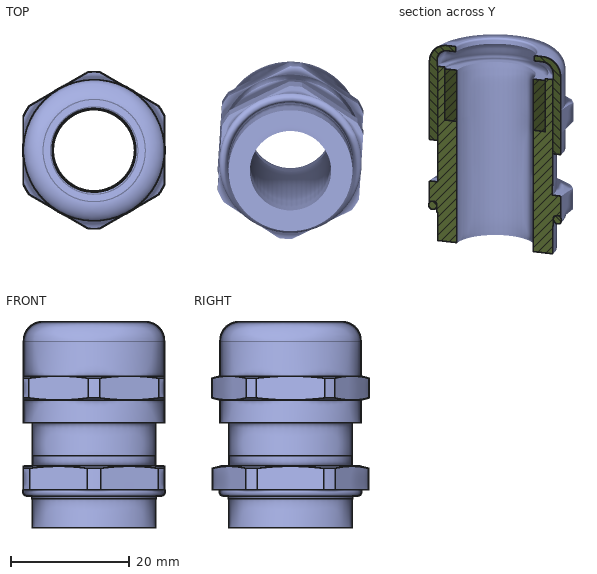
import cadquery as cq
import math

TOTAL_HEIGHT = 34.95

HEX_FLATS = 24.0
HEX_SIDES = 6
HALF_SIDE_ANGLE = 180 / HEX_SIDES
HEX_CHAMFER_ANGLE = 15.0

BODY_RADIUS = 10.5
LIP_RADIUS = 10.6
LIP_BOTTOM = 4.95
BODY_HEX_BOTTOM = 6.47
BODY_HEX_TOP = 10.52
BODY_HEX_CORNER_RADIUS = 13.25
BODY_HEX_CHAMFER_RADIUS = 11.68
NECK_TOP = 12.25
NECK_RADIUS = 10.45
BODY_TOP = 31.08

CAP_RADIUS = 11.95
CAP_BOTTOM = 17.8
CAP_HEX_BOTTOM = 21.68
CAP_HEX_TOP = 25.73
CAP_HEX_CORNER_RADIUS = 13.32
DOME_ROUND = 3.3
CAP_LIP_THICKNESS = 1.0
MOUTH_RADIUS = 7.1
MOUTH_ROUND = 0.3
CAVITY_ROUND = DOME_ROUND - (CAP_RADIUS - BODY_RADIUS)

BORE_RADIUS = 6.9
SEAL_RADIUS = 9.05
SEAL_TOP = 30.75
SEAL_BOTTOM = CAP_HEX_BOTTOM

ORING_OUTER_DIAMETER = 24.15
ORING_SECTION_RADIUS = (ORING_OUTER_DIAMETER / 2 - LIP_RADIUS) / 2
ORING_CENTRE_RADIUS = LIP_RADIUS + ORING_SECTION_RADIUS
ORING_HEIGHT = 6.15


def cylinder(radius, bottom, top):
    """Solid cylinder on the Z axis between two heights."""
    return cq.Workplane("XY").workplane(offset=bottom).circle(radius).extrude(top - bottom)


def hexagon(bottom, top, corner_radius, chamfer_radius, chamfer_bottom):
    """Hexagon with two flats facing +X and -X, turned round corners and conical chamfers."""
    across_corners = HEX_FLATS / math.cos(math.radians(HALF_SIDE_ANGLE))
    prism = (
        cq.Workplane("XY")
        .workplane(offset=bottom)
        .polygon(HEX_SIDES, across_corners)
        .extrude(top - bottom)
        .rotate((0, 0, 0), (0, 0, 1), HALF_SIDE_ANGLE)
    )
    drop = (corner_radius - chamfer_radius) * math.tan(math.radians(HEX_CHAMFER_ANGLE))
    blank = cq.Workplane("XZ").moveTo(0, bottom)
    if chamfer_bottom:
        blank = blank.lineTo(chamfer_radius, bottom).lineTo(corner_radius, bottom + drop)
    else:
        blank = blank.lineTo(corner_radius, bottom)
    blank = (
        blank.lineTo(corner_radius, top - drop)
        .lineTo(chamfer_radius, top)
        .lineTo(0, top)
        .close()
        .revolve(360, (0, 0, 0), (0, 1, 0))
    )
    return prism.intersect(blank)


def make_oring():
    """Torus of round section."""
    return (
        cq.Workplane("XZ")
        .center(ORING_CENTRE_RADIUS, ORING_HEIGHT)
        .circle(ORING_SECTION_RADIUS)
        .revolve(360, (-ORING_CENTRE_RADIUS, 0, 0), (-ORING_CENTRE_RADIUS, 1, 0))
    )


def make_seal():
    """Plain sleeve that closes on the cable."""
    return cylinder(SEAL_RADIUS, SEAL_BOTTOM, SEAL_TOP).cut(cylinder(BORE_RADIUS, SEAL_BOTTOM, SEAL_TOP))


def make_body(oring):
    """Tube with a hexagon, a seat for the seal and a groove for the O-ring."""
    body = cylinder(BODY_RADIUS, 0, LIP_BOTTOM)
    body = body.union(cylinder(LIP_RADIUS, LIP_BOTTOM, BODY_HEX_BOTTOM))
    body = body.union(
        hexagon(BODY_HEX_BOTTOM, BODY_HEX_TOP, BODY_HEX_CORNER_RADIUS, BODY_HEX_CHAMFER_RADIUS, False)
    )
    body = body.union(cylinder(NECK_RADIUS, BODY_HEX_TOP, NECK_TOP))
    body = body.union(cylinder(BODY_RADIUS, NECK_TOP, BODY_TOP))
    body = body.cut(cylinder(BORE_RADIUS, 0, BODY_TOP))
    body = body.cut(cylinder(SEAL_RADIUS, SEAL_BOTTOM, BODY_TOP))
    return body.cut(oring)


def make_cap():
    """Domed nut with a round-cornered cavity over the body and a mouth for the cable."""
    cap = cylinder(CAP_RADIUS, CAP_BOTTOM, TOTAL_HEIGHT).faces(">Z").edges().fillet(DOME_ROUND)
    cap = cap.union(hexagon(CAP_HEX_BOTTOM, CAP_HEX_TOP, CAP_HEX_CORNER_RADIUS, CAP_RADIUS, True))
    cavity = cylinder(BODY_RADIUS, CAP_BOTTOM, TOTAL_HEIGHT - CAP_LIP_THICKNESS)
    cap = cap.cut(cavity.faces(">Z").edges().fillet(CAVITY_ROUND))
    cap = cap.cut(cylinder(MOUTH_RADIUS, CAP_BOTTOM, TOTAL_HEIGHT))
    mouth_edge = cq.selectors.RadiusNthSelector(0)
    return cap.faces(">Z").edges(mouth_edge).fillet(MOUTH_ROUND)


oring = make_oring()
seal = make_seal()
body = make_body(oring)
cap = make_cap()

result = cq.Compound.makeCompound([body.val(), cap.val(), seal.val(), oring.val()])